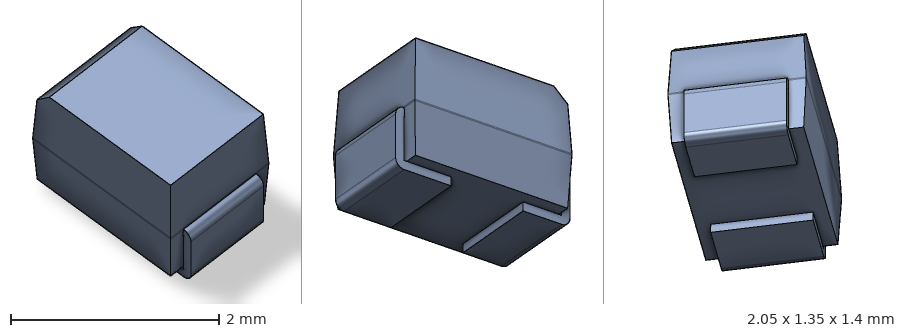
import cadquery as cq
import math

overall_length = 2.05
body_width = 1.35
overall_height = 1.4
lead_thickness = 0.1
lead_width = 1.0
lead_height = 0.683
band_height = 0.015
draft_angle = 3.0
chamfer_run = 0.152
chamfer_drop = 0.155
left_foot_length = 0.551
right_foot_length = 0.652

body_length = overall_length - 2 * lead_thickness
band_bottom = lead_height
band_top = band_bottom + band_height
lower_height = band_bottom - lead_thickness
upper_height = overall_height - band_top
draft_slope = math.tan(math.radians(draft_angle))


def tapered_half(start_height, signed_height):
    """Half of the body, narrowing away from the band."""
    return (
        cq.Workplane("XY")
        .workplane(offset=start_height)
        .rect(body_length, body_width)
        .extrude(signed_height, taper=draft_angle)
    )


def chamfer_cutter():
    """Wedge that removes the top edge on the -X end of the body."""
    top_wall_x = -body_length / 2 + upper_height * draft_slope
    low_wall_x = top_wall_x - chamfer_drop * draft_slope
    return (
        cq.Workplane("XZ")
        .moveTo(top_wall_x + chamfer_run, overall_height)
        .lineTo(low_wall_x, overall_height - chamfer_drop)
        .lineTo(-overall_length / 2, overall_height - chamfer_drop)
        .lineTo(-overall_length / 2, overall_height)
        .close()
        .extrude(body_width / 2, both=True)
    )


def make_body():
    """Moulded body: two drafted halves joined by a straight band."""
    band = (
        cq.Workplane("XY")
        .workplane(offset=band_bottom)
        .rect(body_length, body_width)
        .extrude(band_height)
    )
    lower = tapered_half(band_bottom, -lower_height)
    upper = tapered_half(band_top, upper_height)
    return lower.union(band).union(upper).cut(chamfer_cutter())


def make_lead(side, foot_length):
    """Bent strip on one end of the body; side is -1 for -X and +1 for +X."""
    outer_x = side * overall_length / 2
    inner_x = side * body_length / 2
    foot_end_x = side * (overall_length / 2 - foot_length)
    stub_bottom = lead_height - lead_thickness
    stub_end_x = side * (body_length / 2 - lead_thickness * draft_slope)
    bend_offset = lead_thickness * math.sqrt(0.5)
    bend_mid_x = inner_x + side * bend_offset
    return (
        cq.Workplane("XZ")
        .moveTo(foot_end_x, 0)
        .lineTo(inner_x, 0)
        .threePointArc((bend_mid_x, lead_thickness - bend_offset), (outer_x, lead_thickness))
        .lineTo(outer_x, stub_bottom)
        .threePointArc((bend_mid_x, stub_bottom + bend_offset), (inner_x, lead_height))
        .lineTo(stub_end_x, stub_bottom)
        .lineTo(inner_x, stub_bottom)
        .lineTo(inner_x, lead_thickness)
        .lineTo(foot_end_x, lead_thickness)
        .close()
        .extrude(lead_width / 2, both=True)
    )


body = make_body()
leads = [
    make_lead(side, foot_length)
    for side, foot_length in ((-1, left_foot_length), (1, right_foot_length))
]

result = cq.Compound.makeCompound([body.val(), *[lead.val() for lead in leads]])